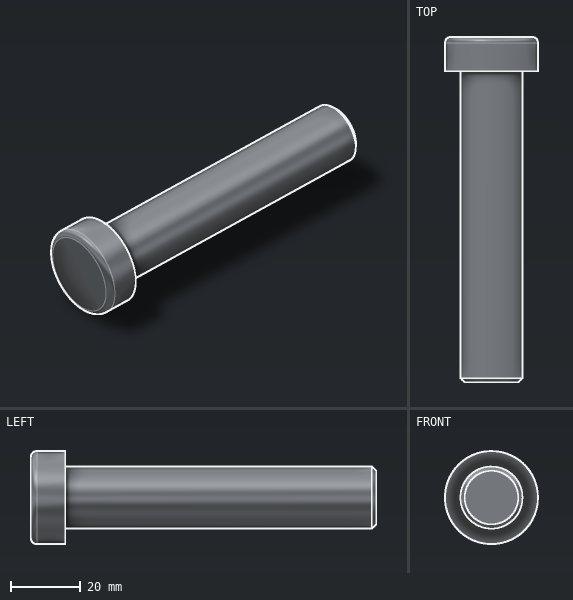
import cadquery as cq

overall_length = 100.0
head_diameter = 27.0
head_height = 10.0
head_rounding = 1.8
shank_diameter = 18.0
tip_chamfer = 1.25

shank_length = overall_length - head_height


def make_head():
    """Cylindrical head standing on the plane Y = 0, rounded at its outer end."""
    head = cq.Workplane("XZ").circle(head_diameter / 2).extrude(-head_height)
    return head.faces(">Y").edges().fillet(head_rounding)


def make_shank():
    """Plain shank running from the underside of the head to a chamfered tip at -Y."""
    shank = cq.Workplane("XZ").circle(shank_diameter / 2).extrude(shank_length)
    return shank.faces("<Y").edges().chamfer(tip_chamfer)


result = make_head().union(make_shank())